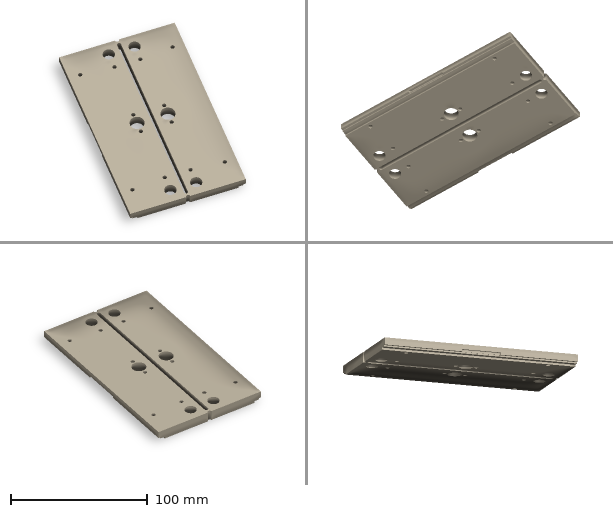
import cadquery as cq

length = 150.0
width = 90.0
thickness = 8.0

outer_step_height = 2.5
outer_step_inset = 1.8
inner_step_height = 1.5
inner_step_inset = 5.5

recess_length = 30.3
recess_depth = 1.5
recess_top = 4.2
recess_corner_radius = 1.2

slot_width = 3.0
slot_end_inset = 3.0

corner_hole_diameter = 9.0
corner_hole_x = 65.0
corner_hole_y = 10.0
pin_hole_diameter = 3.2
inner_pin_x = 53.0
outer_pin_x = 55.0
outer_pin_y = 36.0
centre_hole_diameter = 11.0
centre_hole_y = 12.0
centre_pin_x = 8.0


def mirrored_points(x, y):
    """The point (x, y) and its mirror images about both centre lines."""
    return [(sx * x, sy * y) for sx in (-1, 1) for sy in (-1, 1)]


def stepped_plate():
    """Plate with two-step rebates, extruded along X from its YZ section."""
    half_width = width / 2
    inner_y = half_width - inner_step_inset
    outer_y = half_width - outer_step_inset
    right_side = [
        (inner_y, 0),
        (inner_y, inner_step_height),
        (outer_y, inner_step_height),
        (outer_y, outer_step_height),
        (half_width, outer_step_height),
        (half_width, thickness),
    ]
    left_side = [(-y, z) for y, z in reversed(right_side)]
    section = cq.Workplane("YZ").polyline(right_side + left_side).close()
    return section.extrude(length / 2, both=True)


def edge_recess(side):
    """Cutter for the recess in the long edge on the given side (-1 or 1) of Y."""
    return (
        cq.Workplane("XY", origin=(0, side * width / 2, outer_step_height))
        .rect(recess_length, 2 * recess_depth)
        .extrude(recess_top - outer_step_height)
        .edges("|Z")
        .fillet(recess_corner_radius)
    )


def drill(plate, points, diameter):
    """Cut round through holes at the given points."""
    holes = cq.Workplane("XY").pushPoints(points).circle(diameter / 2).extrude(thickness)
    return plate.cut(holes)


result = stepped_plate()

for side in (-1, 1):
    result = result.cut(edge_recess(side))

slot_length = length - 2 * slot_end_inset
result = result.cut(cq.Workplane("XY").slot2D(slot_length, slot_width).extrude(thickness))
result = drill(result, [(-length / 2, 0), (length / 2, 0)], slot_width)

result = drill(result, mirrored_points(corner_hole_x, corner_hole_y), corner_hole_diameter)
result = drill(result, mirrored_points(inner_pin_x, corner_hole_y), pin_hole_diameter)
result = drill(result, mirrored_points(outer_pin_x, outer_pin_y), pin_hole_diameter)
result = drill(result, mirrored_points(centre_pin_x, centre_hole_y), pin_hole_diameter)
result = drill(result, [(0, -centre_hole_y), (0, centre_hole_y)], centre_hole_diameter)